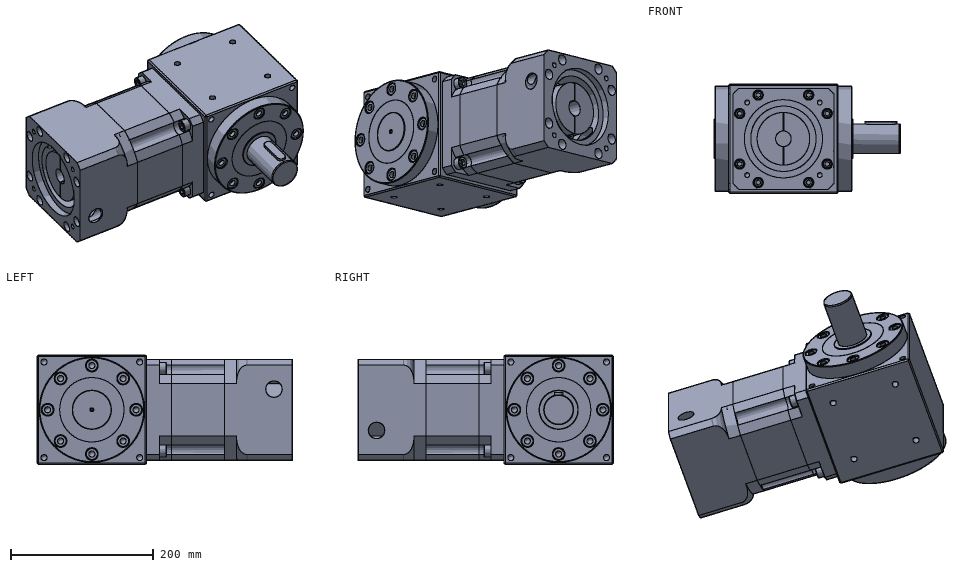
import cadquery as cq
import math

cube_side = 154
cube_half = cube_side / 2
cube_chamfer = 2
tapped_dia = 8.5
tapped_depth = 16
drill_point_angle = 118
top_hole_offset = 46
corner_hole_offset = 67.25

flange_dia = 148
flange_face = 96.5
flange_chamfer = 1
seal_dia = 90.5
seal_recess = 0.2
flange_bolt_radius = 62.2
flange_bolt_count = 8
flange_counterbore_dia = 17.8
flange_head_dia = 15.5
flange_counterbore_depth = 10
flange_head_recess = 1.2
flange_socket_dia = 8.5
flange_socket_depth = 6

collar_dia = 55
collar_face = 97.5
collar_chamfer = 0.5
shaft_dia = 42
shaft_end = 164.5
shaft_end_chamfer_length = 2
shaft_end_chamfer_depth = 0.7
center_hole_dia = 3
center_countersink_dia = 5.5
center_hole_depth = 8
key_length = 45
key_width = 12
key_height = 8
key_protrusion = 3
key_top = shaft_dia / 2 + key_protrusion
key_end_gap = 5

stage_side = 142
stage_corner_dia = 189.5
neck_dia = 160
pocket_start = -95
adapter_end = -112
ring_end = -186.5
neck_end = -203.5
shoulder_radius = 14.5
motor_face = -282

corner_screw_offset = 58
corner_head_dia = 16.5
corner_head_height = 10
head_chamfer = 0.8
corner_socket_width = 8
corner_socket_depth = 5
flute_radius = 9.75

pilot_dia = 110
pilot_depth = 10.5
cavity_dia = 92
cavity_floor = -230
access_hole_dia = 23
access_hole_y = -256
access_hole_z = 29
motor_screw_radius = 71
motor_screw_angles = (30, 60)
motor_counterbore_dia = 14.4
motor_counterbore_floor = -196
motor_head_dia = 12.2
motor_head_height = 8
motor_socket_width = 6
motor_socket_depth = 4
motor_tapped_dia = 6.8
motor_tapped_offset = 51
motor_tapped_depth = 20

hub_dia = 74
hub_setback = 11.5
hub_face = motor_face + hub_setback
hub_bore_dia = 22
hub_bore_depth = 36
slit_width = 1.5
slit_depth = 34


def cylinder_x(dia, x_start, x_end):
    return cq.Workplane("YZ", origin=(x_start, 0, 0)).circle(dia / 2).extrude(x_end - x_start)


def disc_y(dia, y_start, y_end, x=0, z=0):
    """Cylinder along -Y, from y_start to the lower y_end."""
    return cq.Workplane("XZ", origin=(x, y_start, z)).circle(dia / 2).extrude(y_start - y_end)


def square_y(y_start, y_end):
    return cq.Workplane("XZ", origin=(0, y_start, 0)).rect(stage_side, stage_side).extrude(y_start - y_end)


def drilled_hole(dia, depth, point, direction):
    """Blind hole with a conical bottom, entering at a point on a face."""
    tip = dia / 2 / math.tan(math.radians(drill_point_angle / 2))
    entry = cq.Vector(*point)
    axis = cq.Vector(*direction)
    bore = cq.Solid.makeCylinder(dia / 2, depth, entry, axis)
    cone = cq.Solid.makeCone(dia / 2, 0, tip, entry + axis * depth, axis)
    return cq.Workplane(bore.fuse(cone))


def four_corners(offset):
    return [(a * offset, b * offset) for a in (-1, 1) for b in (-1, 1)]


def make_cube():
    cube = cq.Workplane().box(cube_side, cube_side, cube_side).edges().chamfer(cube_chamfer)
    for side in (-1, 1):
        for x, y in four_corners(top_hole_offset):
            cube = cube.cut(drilled_hole(tapped_dia, tapped_depth, (x, y, side * cube_half), (0, 0, -side)))
        for y, z in four_corners(corner_hole_offset):
            cube = cube.cut(drilled_hole(tapped_dia, tapped_depth, (side * cube_half, y, z), (-side, 0, 0)))
    return cube


def make_flange(side):
    """Flange on the -X (side = -1) or +X (side = 1) face, with sunk bolts and the shaft collar."""
    face = side * flange_face
    flange = cylinder_x(flange_dia, side * cube_half, face)
    flange = flange.faces(">X" if side > 0 else "<X").chamfer(flange_chamfer)
    flange = flange.cut(cylinder_x(seal_dia, face - side * seal_recess, face))
    head_top = face - side * flange_head_recess
    counterbore_floor = face - side * flange_counterbore_depth
    head_gap = cylinder_x(flange_counterbore_dia, counterbore_floor, face)
    head_gap = head_gap.cut(cylinder_x(flange_head_dia, counterbore_floor, head_top))
    socket = drilled_hole(flange_socket_dia, flange_socket_depth, (head_top, 0, 0), (-side, 0, 0))
    for i in range(flange_bolt_count):
        angle = 2 * math.pi * i / flange_bolt_count
        place = (0, flange_bolt_radius * math.cos(angle), flange_bolt_radius * math.sin(angle))
        flange = flange.cut(head_gap.translate(place)).cut(socket.translate(place))
    collar = cylinder_x(collar_dia, side * cube_half, side * collar_face)
    collar = collar.faces(">X" if side > 0 else "<X").chamfer(collar_chamfer)
    return flange.union(collar)


def make_shaft_end():
    shaft = cylinder_x(shaft_dia, cube_half, shaft_end)
    shaft = shaft.faces(">X").edges().chamfer(shaft_end_chamfer_length, shaft_end_chamfer_depth)
    key_center = shaft_end - key_end_gap - key_length / 2
    key = (
        cq.Workplane("XY", origin=(key_center, 0, key_top - key_height))
        .slot2D(key_length, key_width)
        .extrude(key_height)
    )
    return shaft.union(key)


def make_center_hole():
    """Countersunk centre hole in the -X end of the shaft."""
    hole = cylinder_x(center_hole_dia, -collar_face, -collar_face + center_hole_depth)
    sink_depth = (center_countersink_dia - center_hole_dia) / 2
    sink = cq.Solid.makeCone(
        center_countersink_dia / 2,
        center_hole_dia / 2,
        sink_depth,
        cq.Vector(-collar_face, 0, 0),
        cq.Vector(1, 0, 0),
    )
    return hole.union(cq.Workplane(sink))


def make_gearbox():
    box = make_cube().union(make_flange(-1)).union(make_flange(1)).union(make_shaft_end())
    return box.cut(make_center_hole())


def cut_flutes(section, y_start, y_end):
    for x, z in four_corners(corner_screw_offset):
        section = section.cut(disc_y(2 * flute_radius, y_start, y_end, x, z))
    return section


def socket_head(dia, height, socket_width, socket_depth, x, y, z):
    """Cap screw head that stands on the plane at y and points to -Y."""
    head = disc_y(dia, y, y - height, x, z).faces("<Y").edges().chamfer(head_chamfer)
    socket = (
        cq.Workplane("XZ", origin=(x, y - height + socket_depth, z))
        .polygon(6, socket_width, circumscribed=True)
        .extrude(socket_depth)
    )
    return head.cut(socket)


def make_adapter():
    plate = square_y(-cube_half, pocket_start).intersect(disc_y(stage_corner_dia, -cube_half, pocket_start))
    neck = square_y(pocket_start, adapter_end).intersect(disc_y(neck_dia, pocket_start, adapter_end))
    adapter = plate.union(cut_flutes(neck, pocket_start, adapter_end))
    for x, z in four_corners(corner_screw_offset):
        head = socket_head(
            corner_head_dia, corner_head_height, corner_socket_width, corner_socket_depth, x, pocket_start, z
        )
        adapter = adapter.union(head)
    return adapter


def make_ring_gear():
    ring = square_y(adapter_end, ring_end).intersect(disc_y(neck_dia, adapter_end, ring_end))
    return cut_flutes(ring, adapter_end, ring_end)


def make_motor_flange():
    neck = disc_y(neck_dia, ring_end, neck_end)
    body = disc_y(stage_corner_dia, neck_end, motor_face).faces(">Y").edges().fillet(shoulder_radius)
    flange = square_y(ring_end, motor_face).intersect(neck.union(body))
    flange = flange.cut(disc_y(pilot_dia, motor_face + pilot_depth, motor_face))
    flange = flange.cut(disc_y(cavity_dia, cavity_floor, motor_face))
    for side in (-1, 1):
        access = cylinder_x(access_hole_dia, 0, side * stage_side / 2)
        flange = flange.cut(access.translate((0, access_hole_y, -side * access_hole_z)))
    for x, z in four_corners(motor_tapped_offset):
        flange = flange.cut(drilled_hole(motor_tapped_dia, motor_tapped_depth, (x, motor_face, z), (0, 1, 0)))
    for quarter in range(4):
        for start_angle in motor_screw_angles:
            angle = math.radians(start_angle + 90 * quarter)
            x = motor_screw_radius * math.cos(angle)
            z = motor_screw_radius * math.sin(angle)
            flange = flange.cut(disc_y(motor_counterbore_dia, motor_counterbore_floor, motor_face, x, z))
            head = socket_head(
                motor_head_dia, motor_head_height, motor_socket_width, motor_socket_depth,
                x, motor_counterbore_floor, z,
            )
            flange = flange.union(head)
    return flange


def make_clamp_hub():
    hub = disc_y(hub_dia, cavity_floor, hub_face)
    hub = hub.cut(disc_y(hub_bore_dia, hub_face + hub_bore_depth, hub_face))
    slit = (
        cq.Workplane("XZ", origin=(0, hub_face + slit_depth, 0))
        .rect(slit_width, hub_dia)
        .extrude(slit_depth)
    )
    return hub.cut(slit)


gearbox = make_gearbox()
adapter = make_adapter()
ring_gear = make_ring_gear()
motor_flange = make_motor_flange()
clamp_hub = make_clamp_hub()

result = cq.Compound.makeCompound(
    [gearbox.val(), adapter.val(), ring_gear.val(), motor_flange.val(), clamp_hub.val()]
)